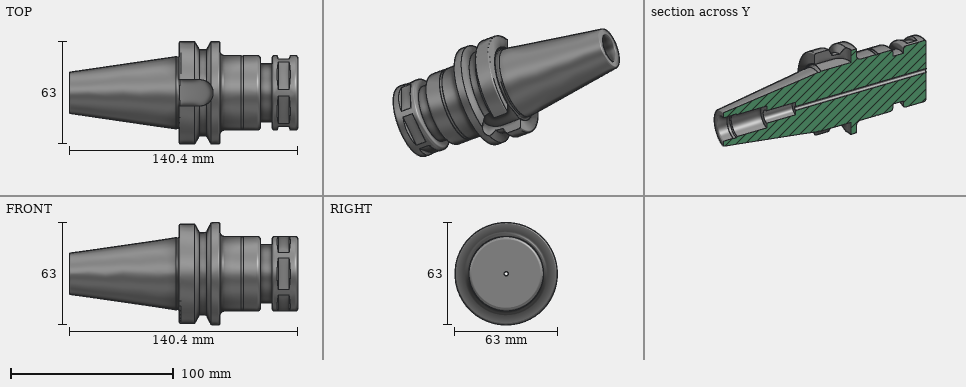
import cadquery as cq
import math

TOTAL_LENGTH = 140.4
TAPER_LENGTH = 65.4
GAUGE_DIAMETER = 44.45
TAPER_RATIO = 7 / 24
TAPER_END_RADIUS = 1.0

NECK_DIAMETER = 44.0
NECK_START = 66.4
NECK_ROOT_RADIUS = 1.2
RECESS_DIAMETER = 47.8
RECESS_DEPTH = 0.4

FLANGE_DIAMETER = 63.0
FLANGE_FRONT = TAPER_LENGTH + 2.0
FLANGE_BACK = TAPER_LENGTH + 27.0
FLANGE_EDGE_RADIUS = 1.0
V_GROOVE_CENTER = TAPER_LENGTH + 16.6
V_GROOVE_FLOOR_DIAMETER = 53.0
V_GROOVE_FLOOR_WIDTH = 4.3
V_GROOVE_HALF_ANGLE = 30.0

SLOT_WIDTH = 16.1
SLOT_FLOOR_HEIGHT = 22.5
SLOT_END = 88.3

BODY_DIAMETER = 46.0
BODY_END = 117.4
BODY_ROOT_RADIUS = 2.7
BODY_EDGE_RADIUS = 2.2
RING_GROOVE_START = 105.3
RING_GROOVE_WIDTH = 1.7
RING_GROOVE_DEPTH = 0.25
STEM_DIAMETER = 36.0

NUT_DIAMETER = 46.0
NUT_START = 124.5
NUT_FRONT_RADIUS = 1.7
NUT_BACK_RADIUS = 2.0
POCKET_COUNT = 6
POCKET_FLOOR_DISTANCE = 20.8
POCKET_FLOOR_WIDTH = 6.6
POCKET_CENTER = 131.6
POCKET_FLANK_ANGLE = 20.0

BORE_MOUTH_RADIUS = 1.0
COUNTERBORE_DIAMETER = 17.0
COUNTERBORE_DEPTH = 7.0
RELIEF_DIAMETER = 17.4
RELIEF_END = 9.0
THREAD_START = 9.7
THREAD_DIAMETER = 16.0
THREAD_DEPTH = 30.0
DEEP_HOLE_DIAMETER = 9.0
DEEP_HOLE_DEPTH = 50.0
COOLANT_HOLE_DIAMETER = 2.5

CUT_CLEARANCE = 1.0

SELECT_TOLERANCE = 0.01


def round_circle(body, position, diameter, radius):
    """Fillet the circular edge of the given diameter at one X position."""
    reach = diameter / 2 + SELECT_TOLERANCE
    slab = cq.selectors.BoxSelector(
        (position - SELECT_TOLERANCE, -reach, -reach),
        (position + SELECT_TOLERANCE, reach, reach),
        boundingbox=True,
    )
    edges = body.edges(slab).filter(lambda edge: abs(edge.radius() - diameter / 2) < SELECT_TOLERANCE)
    return edges.fillet(radius)


def make_body():
    """Revolve the outer half profile about the X axis."""
    flange_r = FLANGE_DIAMETER / 2
    groove_floor_r = V_GROOVE_FLOOR_DIAMETER / 2
    floor_half = V_GROOVE_FLOOR_WIDTH / 2
    rim_half = floor_half + (flange_r - groove_floor_r) * math.tan(math.radians(V_GROOVE_HALF_ANGLE))
    gauge_r = GAUGE_DIAMETER / 2
    small_r = gauge_r - TAPER_LENGTH * TAPER_RATIO / 2
    recess_floor_x = FLANGE_FRONT + RECESS_DEPTH
    profile = (
        cq.Workplane("XY")
        .moveTo(0, 0)
        .lineTo(0, small_r)
        .lineTo(TAPER_LENGTH, gauge_r)
        .lineTo(NECK_START, NECK_DIAMETER / 2)
        .lineTo(recess_floor_x, NECK_DIAMETER / 2)
        .lineTo(recess_floor_x, RECESS_DIAMETER / 2)
        .lineTo(FLANGE_FRONT, RECESS_DIAMETER / 2)
        .lineTo(FLANGE_FRONT, flange_r)
        .lineTo(V_GROOVE_CENTER - rim_half, flange_r)
        .lineTo(V_GROOVE_CENTER - floor_half, groove_floor_r)
        .lineTo(V_GROOVE_CENTER + floor_half, groove_floor_r)
        .lineTo(V_GROOVE_CENTER + rim_half, flange_r)
        .lineTo(FLANGE_BACK, flange_r)
        .lineTo(FLANGE_BACK, BODY_DIAMETER / 2)
        .lineTo(BODY_END, BODY_DIAMETER / 2)
        .lineTo(BODY_END, STEM_DIAMETER / 2)
        .lineTo(NUT_START, STEM_DIAMETER / 2)
        .lineTo(NUT_START, NUT_DIAMETER / 2)
        .lineTo(TOTAL_LENGTH, NUT_DIAMETER / 2)
        .lineTo(TOTAL_LENGTH, 0)
        .close()
    )
    body = profile.revolve(360, (0, 0, 0), (1, 0, 0))
    rounded_edges = [
        (0, 2 * small_r, TAPER_END_RADIUS),
        (recess_floor_x, NECK_DIAMETER, NECK_ROOT_RADIUS),
        (FLANGE_FRONT, FLANGE_DIAMETER, FLANGE_EDGE_RADIUS),
        (FLANGE_BACK, FLANGE_DIAMETER, FLANGE_EDGE_RADIUS),
        (FLANGE_BACK, BODY_DIAMETER, BODY_ROOT_RADIUS),
        (BODY_END, BODY_DIAMETER, BODY_EDGE_RADIUS),
        (NUT_START, NUT_DIAMETER, NUT_FRONT_RADIUS),
        (TOTAL_LENGTH, NUT_DIAMETER, NUT_BACK_RADIUS),
    ]
    for position, diameter, radius in rounded_edges:
        body = round_circle(body, position, diameter, radius)
    return body


def ring_groove():
    """Shallow ring around the cylindrical body."""
    return (
        cq.Workplane("YZ", origin=(RING_GROOVE_START, 0, 0))
        .circle(BODY_DIAMETER / 2 + CUT_CLEARANCE)
        .circle(BODY_DIAMETER / 2 - RING_GROOVE_DEPTH)
        .extrude(RING_GROOVE_WIDTH)
    )


def drive_slot():
    """Round-ended slot on the +Z side, open towards the taper."""
    half_width = SLOT_WIDTH / 2
    return (
        cq.Workplane("XY", origin=(0, 0, SLOT_FLOOR_HEIGHT))
        .moveTo(TAPER_LENGTH, -half_width)
        .lineTo(SLOT_END - half_width, -half_width)
        .threePointArc((SLOT_END, 0), (SLOT_END - half_width, half_width))
        .lineTo(TAPER_LENGTH, half_width)
        .close()
        .extrude(FLANGE_DIAMETER / 2)
    )


def wrench_pocket():
    """Flat-bottomed pocket with sloping flanks on the +Y side of the nut."""
    height = NUT_DIAMETER / 2 - POCKET_FLOOR_DISTANCE + CUT_CLEARANCE
    floor_half = POCKET_FLOOR_WIDTH / 2
    top_half = floor_half + height * math.tan(math.radians(POCKET_FLANK_ANGLE))
    top = POCKET_FLOOR_DISTANCE + height
    return (
        cq.Workplane("XY")
        .moveTo(POCKET_CENTER - floor_half, POCKET_FLOOR_DISTANCE)
        .lineTo(POCKET_CENTER + floor_half, POCKET_FLOOR_DISTANCE)
        .lineTo(POCKET_CENTER + top_half, top)
        .lineTo(POCKET_CENTER - top_half, top)
        .close()
        .extrude(NUT_DIAMETER / 2, both=True)
    )


def bore():
    """Stepped bore on the X axis, ending in a through coolant hole."""
    return (
        cq.Workplane("XY")
        .moveTo(0, 0)
        .lineTo(0, COUNTERBORE_DIAMETER / 2)
        .lineTo(COUNTERBORE_DEPTH, COUNTERBORE_DIAMETER / 2)
        .lineTo(COUNTERBORE_DEPTH, RELIEF_DIAMETER / 2)
        .lineTo(RELIEF_END, RELIEF_DIAMETER / 2)
        .lineTo(THREAD_START, THREAD_DIAMETER / 2)
        .lineTo(THREAD_DEPTH, THREAD_DIAMETER / 2)
        .lineTo(THREAD_DEPTH, DEEP_HOLE_DIAMETER / 2)
        .lineTo(DEEP_HOLE_DEPTH, DEEP_HOLE_DIAMETER / 2)
        .lineTo(DEEP_HOLE_DEPTH, COOLANT_HOLE_DIAMETER / 2)
        .lineTo(TOTAL_LENGTH, COOLANT_HOLE_DIAMETER / 2)
        .lineTo(TOTAL_LENGTH, 0)
        .close()
        .revolve(360, (0, 0, 0), (1, 0, 0))
    )


result = make_body().cut(ring_groove()).cut(bore())
result = round_circle(result, 0, COUNTERBORE_DIAMETER, BORE_MOUTH_RADIUS)
for angle in (0, 180):
    result = result.cut(drive_slot().rotate((0, 0, 0), (1, 0, 0), angle))
for index in range(POCKET_COUNT):
    result = result.cut(wrench_pocket().rotate((0, 0, 0), (1, 0, 0), index * 360 / POCKET_COUNT))